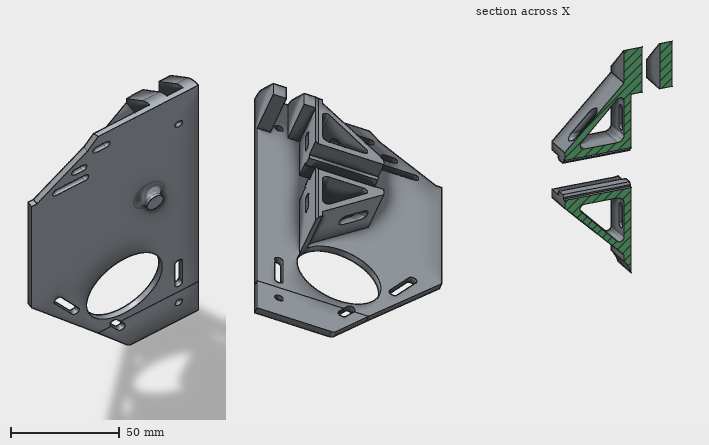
import cadquery as cq
import math


plate_thickness = 3.1
plate_width = 91.8
plate_height = 172.5
seam_z = 21.9
shoulder_z = 144.9
shoulder_width = 3.0
knee = (30.7, 165.4)
top_corner_y = 36.5
side_end_z = 67.3
seam_corner_y = 36.4
bottom_corner_y = 53.5
bottom_corner_radius = 3.3
motor_hole_diameter = 41.5
motor_hole_center = (51.0, 47.6)

slot_width = 4.1
screw_y = 80.9
screw_heights = (13.6, 150.4)
plate_slots = [
    ((41.0, 163.0), (35.7, 163.0)),
    ((28.3, 154.2), (24.1, 154.2)),
    ((29.3, 145.9), (13.6, 145.9)),
    ((screw_y, 44.0), (screw_y, 28.1)),
    ((14.5, 62.6), (24.1, 47.5)),
    ((45.2, 23.5), (49.3, 17.2)),
]

finger_reach = 20.5
finger_tip_z = 153.7
finger_gap = (76.4, 85.2)
top_round_start = (-6.2, 167.8)

bracket_mid_z = 107.8
bracket_reach = 19.8
bracket_back_y = 70.7
wall_face_y = 67.0
bevel_width = 1.7
shelf_z = 117.8
shelf_thickness = 4.1
strut_top_z = 151.5
window_leg = 25.2
window_corner_radius = 3.3
window_tip_radius = 2.0
bracket_slot_x = -9.5
bracket_slot_z = 132.6
bracket_slot_straight = 8.3
strut_slot_width = 5.3

rail_center_x = -10.0
rail_height = 2.0
rail_root_half_width = 2.6
rail_half_width = 3.1
rail_tip_half_width = 2.0

knob_y = 64.5
knob_tip_diameter = 9.0
knob_height = 5.3
knob_flare_radius = 4.0


def along_x(points, x_start, x_end):
    """Prism along X whose outline is given as (Y, Z) points."""
    return cq.Workplane("YZ", origin=(x_start, 0, 0)).polyline(points).close().extrude(x_end - x_start)


def slot_along_x(start, end):
    """Round-ended slot through the plate between two (Y, Z) arc centers."""
    dy = end[0] - start[0]
    dz = end[1] - start[1]
    return (
        cq.Workplane("YZ")
        .center((start[0] + end[0]) / 2, (start[1] + end[1]) / 2)
        .slot2D(math.hypot(dy, dz) + slot_width, slot_width, math.degrees(math.atan2(dz, dy)))
        .extrude(plate_thickness)
    )


def make_plate():
    outline = [
        (plate_width, 0),
        (plate_width, plate_height),
        (top_corner_y, plate_height),
        knee,
        (shoulder_width, shoulder_z),
        (0, shoulder_z),
        (0, side_end_z),
        (seam_corner_y, seam_z),
        (bottom_corner_y, 0),
    ]
    corner = cq.selectors.NearestToPointSelector((plate_thickness / 2, bottom_corner_y, 0))
    return along_x(outline, 0, plate_thickness).edges("|X").edges(corner).fillet(bottom_corner_radius)


def make_fingers():
    block = cq.Workplane("XY").box(
        finger_reach, plate_width - bracket_back_y, plate_height - shoulder_z, centered=False
    ).translate((-finger_reach, bracket_back_y, shoulder_z))
    gap = cq.Workplane("XY").box(
        finger_reach, finger_gap[1] - finger_gap[0], plate_height - shoulder_z, centered=False
    ).translate((-finger_reach, finger_gap[0], shoulder_z))
    return block.cut(gap)


def make_top_envelope():
    """Profile that slopes the fingers and rounds the top edge of the plate."""
    return (
        cq.Workplane("XZ")
        .moveTo(-finger_reach, 0)
        .lineTo(-finger_reach, finger_tip_z)
        .lineTo(*top_round_start)
        .tangentArcPoint((plate_thickness, plate_height), relative=False)
        .lineTo(plate_thickness, 0)
        .close()
        .extrude(-plate_width)
    )


def make_window():
    """Triangular opening between wall, shelf and strut, with rounded corners."""
    floor_z = shelf_z + shelf_thickness
    outline = [
        (wall_face_y, floor_z),
        (wall_face_y - window_leg, floor_z),
        (wall_face_y, floor_z + window_leg),
    ]
    window = along_x(outline, -finger_reach, 0)
    corner_radii = (window_corner_radius, window_tip_radius, window_tip_radius)
    for corner, radius in zip(outline, corner_radii):
        edge = cq.selectors.NearestToPointSelector((-finger_reach / 2, *corner))
        window = window.edges("|X").edges(edge).fillet(radius)
    return window


def bracket_slot(width, y_start, y_end):
    """Upright slot along Y between two Y positions."""
    return (
        cq.Workplane("XZ", origin=(0, y_start, 0))
        .center(bracket_slot_x, bracket_slot_z)
        .slot2D(bracket_slot_straight + width, width, 90)
        .extrude(y_start - y_end)
    )


def make_bracket_wall():
    """Upright wall and shelf back edge, beveled toward the back."""
    profile = [
        (0, wall_face_y),
        (-bracket_reach, wall_face_y),
        (-bracket_reach, bracket_back_y - bevel_width),
        (-finger_reach, bracket_back_y),
        (0, bracket_back_y),
    ]
    return (
        cq.Workplane("XY", origin=(0, 0, shelf_z)).polyline(profile).close().extrude(plate_height - shelf_z)
    )


def make_bracket():
    """Upper bracket: wall, shelf and sloping strut around a window, with a guide rail below."""
    outline = [
        (wall_face_y, shelf_z),
        (wall_face_y, strut_top_z),
        (top_corner_y, shelf_z + shelf_thickness),
        (top_corner_y, shelf_z),
    ]
    bracket = along_x(outline, -bracket_reach, 0).cut(make_window())
    bracket = bracket.cut(bracket_slot(strut_slot_width, 0, wall_face_y))
    wall = make_bracket_wall().cut(bracket_slot(slot_width, wall_face_y, bracket_back_y))
    return bracket.union(wall).union(make_rail())


def make_rail():
    half_outline = [
        (rail_root_half_width, shelf_z),
        (rail_half_width, shelf_z - rail_height / 2),
        (rail_tip_half_width, shelf_z - rail_height),
    ]
    profile = half_outline + [(-x, z) for x, z in reversed(half_outline)]
    return (
        cq.Workplane("XZ", origin=(rail_center_x, top_corner_y, 0))
        .polyline(profile)
        .close()
        .extrude(top_corner_y - bracket_back_y)
    )


def make_knob():
    """Short round knob on the outer face, flaring into the plate with a concave quarter round."""
    tip_radius = knob_tip_diameter / 2
    base_radius = tip_radius + knob_flare_radius
    arc_inset = knob_flare_radius * (1 - math.sqrt(0.5))
    return (
        cq.Workplane("XY", origin=(plate_thickness, knob_y, bracket_mid_z))
        .lineTo(0, base_radius)
        .threePointArc((arc_inset, tip_radius + arc_inset), (knob_flare_radius, tip_radius))
        .lineTo(knob_height, tip_radius)
        .lineTo(knob_height, 0)
        .close()
        .revolve(360, (0, 0, 0), (1, 0, 0))
    )


def drill(body):
    motor_hole = (
        cq.Workplane("YZ", origin=(-finger_reach, 0, 0))
        .center(*motor_hole_center)
        .circle(motor_hole_diameter / 2)
        .extrude(finger_reach + plate_thickness)
    )
    screw_holes = (
        cq.Workplane("YZ", origin=(-finger_reach, 0, 0))
        .pushPoints([(screw_y, z) for z in screw_heights])
        .circle(slot_width / 2)
        .extrude(finger_reach + plate_thickness)
    )
    body = body.cut(motor_hole).cut(screw_holes)
    for start, end in plate_slots:
        body = body.cut(slot_along_x(start, end))
    return body


upper_bracket = make_bracket()
lower_bracket = upper_bracket.mirror("XY", (0, 0, bracket_mid_z))
whole = make_plate().union(make_fingers()).union(upper_bracket).union(lower_bracket)
whole = drill(whole.intersect(make_top_envelope()))

foot_space = cq.Workplane("XY").box(plate_thickness, plate_width, seam_z, centered=False)
foot = whole.intersect(foot_space)
mount = whole.cut(foot_space).union(make_knob())

result = cq.Compound.makeCompound([mount.val(), foot.val()])